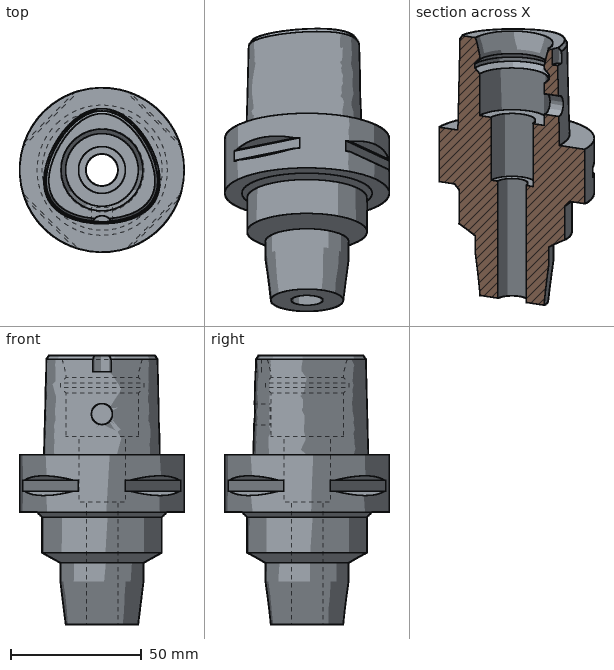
import cadquery as cq
import math

total_height = 103.0
shank_length = 38.0
flange_thickness = 21.9
flange_top = total_height - shank_length
flange_bottom = flange_top - flange_thickness
body_bottom = 27.5
neck_top = 23.6
nose_top = 16.6

flange_radius = 31.5
body_radius = 23.0
undercut_radius = 24.9
neck_radius = 16.0
nose_tip_radius = 13.9
undercut_height = undercut_radius - body_radius

lobe_base_radius = 22.0
lobe_height = 1.4
taper_per_length = 1 / 40
rim_chamfer_height = 1.5
rim_chamfer_width = 1.0
points_per_outline = 36

mouth_radius = 15.7
bore_radius = 13.9
mouth_depth = 6.8
groove_radius = 16.0
groove_depth = 8.4
groove_width = 5.8
groove_flank = groove_radius - bore_radius
bore_depth = 30.9
counterbore_radius = 9.0
tool_bore_radius = 6.1
tool_bore_length = 47.0

notch_radius = 4.0
notch_axis_y = -21.5
notch_depth = 6.2
side_hole_radius = 4.0
side_hole_depth_below_top = 22.5
side_hole_floor_y = -14.3

slot_count = 4
slot_first_angle = 45
slot_floor_radius = 27.7
slot_flare_radius = 28.5
slot_floor_height = 4.1
slot_flare_angle = 30
slot_mid_height = flange_top - 11.8
tool_overrun = 2.1


def revolve_profile(points):
    """Turn an (r, z) outline around the Z axis."""
    return cq.Workplane("XZ").polyline(points).close().revolve(360, (0, 0, 0), (0, 1, 0))


def lobe_outline(base_radius, z):
    """Closed three-lobed trochoid with one lobe pointing to +Y."""
    points = []
    for i in range(points_per_outline):
        t = 2 * math.pi * i / points_per_outline
        x = base_radius * math.sin(t) - lobe_height * math.sin(2 * t)
        y = base_radius * math.cos(t) + lobe_height * math.cos(2 * t)
        points.append(cq.Vector(x, y, z))
    return cq.Wire.assembleEdges([cq.Edge.makeSpline(points, periodic=True)])


def make_turned_body():
    return revolve_profile([
        (0, 0),
        (nose_tip_radius, 0),
        (neck_radius, nose_top),
        (neck_radius, neck_top),
        (body_radius, body_bottom),
        (body_radius, flange_bottom - undercut_height),
        (undercut_radius, flange_bottom),
        (flange_radius, flange_bottom),
        (flange_radius, flange_top),
        (0, flange_top),
    ])


def make_shank():
    """Tapered lobed shank with a chamfered rim."""
    chamfer_z = total_height - rim_chamfer_height
    chamfer_base_radius = lobe_base_radius - taper_per_length * (chamfer_z - flange_top)
    foot = lobe_outline(lobe_base_radius, flange_top)
    shoulder = lobe_outline(chamfer_base_radius, chamfer_z)
    rim = lobe_outline(chamfer_base_radius - rim_chamfer_width, total_height)
    taper = cq.Solid.makeLoft([foot, shoulder], True)
    chamfer = cq.Solid.makeLoft([shoulder, rim], True)
    return cq.Workplane(taper).union(cq.Workplane(chamfer))


def make_bore():
    """Conical mouth, grooved main bore, counterbore and through tool bore."""
    groove_top = total_height - groove_depth
    groove_end = groove_top - groove_width
    bore_floor = total_height - bore_depth
    return revolve_profile([
        (0, 0),
        (tool_bore_radius, 0),
        (tool_bore_radius, tool_bore_length),
        (counterbore_radius, tool_bore_length),
        (counterbore_radius, bore_floor),
        (bore_radius, bore_floor),
        (bore_radius, groove_end),
        (groove_radius, groove_end + groove_flank),
        (groove_radius, groove_top - groove_flank),
        (bore_radius, groove_top),
        (bore_radius, total_height - mouth_depth),
        (mouth_radius, total_height),
        (0, total_height),
    ])


def make_rim_notch():
    return (
        cq.Workplane("XY", origin=(0, notch_axis_y, total_height - notch_depth))
        .circle(notch_radius)
        .extrude(notch_depth)
    )


def make_side_hole():
    """Flat-bottomed blind hole drilled towards +Y."""
    return (
        cq.Workplane("XZ", origin=(0, side_hole_floor_y, total_height - side_hole_depth_below_top))
        .circle(side_hole_radius)
        .extrude(flange_radius + side_hole_floor_y)
    )


def make_gripper_slot(angle):
    """Straight slot with a flared mouth, cut across the flange at the given angle."""
    outer_radius = flange_radius + tool_overrun
    half_floor = slot_floor_height / 2
    half_mouth = half_floor + (outer_radius - slot_flare_radius) * math.tan(math.radians(slot_flare_angle))
    return (
        cq.Workplane("XZ")
        .polyline([
            (slot_floor_radius, -half_floor),
            (slot_flare_radius, -half_floor),
            (outer_radius, -half_mouth),
            (outer_radius, half_mouth),
            (slot_flare_radius, half_floor),
            (slot_floor_radius, half_floor),
        ])
        .close()
        .extrude(flange_radius, both=True)
        .translate((0, 0, slot_mid_height))
        .rotate((0, 0, 0), (0, 0, 1), angle)
    )


result = make_turned_body().union(make_shank())
result = result.cut(make_bore()).cut(make_rim_notch()).cut(make_side_hole())
for slot_index in range(slot_count):
    result = result.cut(make_gripper_slot(slot_first_angle + slot_index * 360 / slot_count))